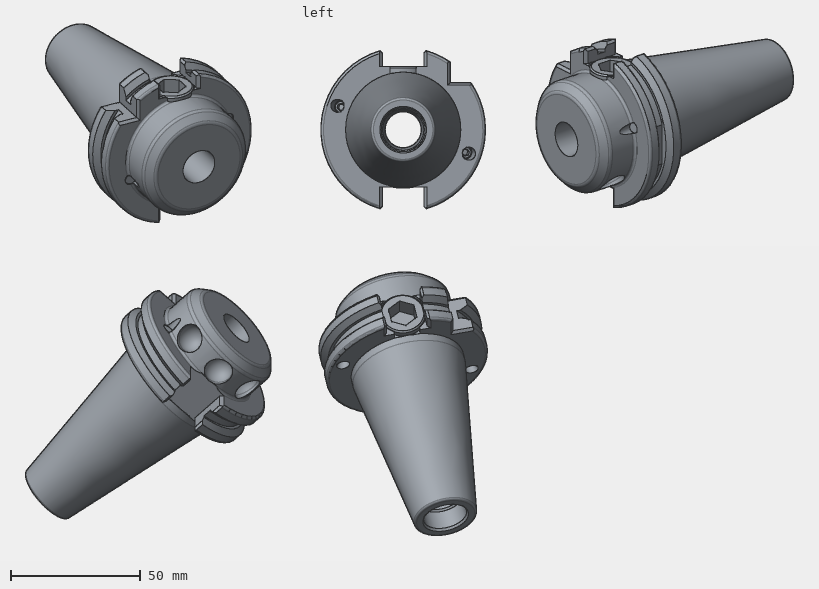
import cadquery as cq
import math


OVERALL_LENGTH = 103.4
TAPER_LENGTH = 68.3
GAUGE_RADIUS = 22.2
TAPER_SLOPE = 7 / 48
SMALL_END_RADIUS = GAUGE_RADIUS - TAPER_LENGTH * TAPER_SLOPE
SMALL_END_FILLET = 0.9
NOSE_END = OVERALL_LENGTH - TAPER_LENGTH
NOSE_RADIUS = 22.5
NOSE_CHAMFER = 3.7
NOSE_FILLET = 2.0
NOSE_ROOT_FILLET = 1.0

FLANGE_RADIUS = 31.8
FLANGE_REAR = 3.2
FLANGE_FRONT = 19.1
FLANGE_LENGTH = FLANGE_FRONT - FLANGE_REAR
FLANGE_FILLET = 1.0

GROOVE_CENTRE = 11.2
GROOVE_FLOOR_RADIUS = 28.1
GROOVE_WALL_RADIUS = 29.3
GROOVE_FLOOR_WIDTH = 3.6
GROOVE_MOUTH_WIDTH = 7.2
GROOVE_FLAT_Y = 26.9

DRIVE_SLOT_WIDTH = 15.9
TOP_SLOT_FLOOR = 24.4
BOTTOM_SLOT_FLOOR = -22.1
SLOT_CHAMFER = 1.2
SLOT_RIM_HEIGHT = 29.6

NOTCH_OFFSET = 18.2
NOTCH_CHAMFER = 1.0

BORE_RADIUS = 6.9
PILOT_RADIUS = 8.5
PILOT_DEPTH = 8.8
PILOT_CHAMFER_WIDTH = 0.5
PILOT_CHAMFER_LENGTH = 1.0
THREAD_RADIUS = 8.0
PILOT_STEP_LENGTH = 0.8
BORE_CONE_LENGTH = 8.3

SCREW_X = 12.1
SCREW_RADIUS = 8.8
SCREW_CHAMFER = 0.6
SCREW_TOP = TOP_SLOT_FLOOR
SCREW_BOTTOM = 10.0
SCREW_LENGTH = SCREW_TOP - SCREW_BOTTOM
SCREW_HEX_WIDTH = 10.0
SCREW_HEX_DEPTH = 7.2
COUNTERSINK = 0.4
RELIEF_WIDTH = 10.0
RELIEF_FLOOR = 21.7

COOLANT_AZIMUTH = 20.0
COOLANT_TILT = 15.0
PLUG_LENGTH = 4.1
REAR_HOLE_RADIUS = 2.5
REAR_HOLE_PITCH_RADIUS = 27.0
REAR_PLUG_RECESS = 4.9
REAR_PLUG_CHAMFER = 0.4
REAR_HEX_WIDTH = 2.5
REAR_HEX_DEPTH = 2.6
FRONT_HOLE_RADIUS = 2.1
FRONT_HOLE_PITCH_RADIUS = 22.9
FRONT_PLUG_X = 18.9
FRONT_HOLE_RUNOUT = 12.4

BALANCE_X = 25.2
BALANCE_RADIUS = 5.5
BALANCE_CENTRE_RADIUS = 20.8
BALANCE_ANGLES = (-45, -90, -135)

SIDES = (1, -1)


def revolve_about_x(outline):
    return outline.close().revolve(360, (0, 0, 0), (1, 0, 0))


def hexagon(plane, width, depth):
    """Hexagonal prism, `width` across flats."""
    return plane.polygon(6, width / math.cos(math.pi / 6)).extrude(depth)


def taper():
    tail = revolve_about_x(
        cq.Workplane("XY")
        .moveTo(-TAPER_LENGTH, 0)
        .lineTo(-TAPER_LENGTH, SMALL_END_RADIUS)
        .lineTo(0, GAUGE_RADIUS)
        .lineTo(FLANGE_REAR, GAUGE_RADIUS)
        .lineTo(FLANGE_REAR, 0)
    )
    return tail.faces("<X").edges().fillet(SMALL_END_FILLET)


def nose():
    cone_start = NOSE_END - NOSE_CHAMFER
    front = revolve_about_x(
        cq.Workplane("XY")
        .moveTo(cone_start - NOSE_FILLET, 0)
        .lineTo(cone_start - NOSE_FILLET, NOSE_RADIUS)
        .lineTo(cone_start, NOSE_RADIUS)
        .lineTo(NOSE_END, NOSE_RADIUS - NOSE_CHAMFER)
        .lineTo(NOSE_END, 0)
    )
    front = front.faces(">X or %CONE").edges().fillet(NOSE_FILLET)
    root = revolve_about_x(
        cq.Workplane("XY")
        .moveTo(FLANGE_FRONT, 0)
        .lineTo(FLANGE_FRONT, NOSE_RADIUS + NOSE_ROOT_FILLET)
        .radiusArc((FLANGE_FRONT + NOSE_ROOT_FILLET, NOSE_RADIUS), -NOSE_ROOT_FILLET)
        .lineTo(cone_start - NOSE_FILLET, NOSE_RADIUS)
        .lineTo(cone_start - NOSE_FILLET, 0)
    )
    return root.union(front)


def grooved_ring():
    ring = cq.Workplane("YZ", origin=(FLANGE_REAR, 0, 0)).circle(FLANGE_RADIUS).extrude(FLANGE_LENGTH)
    ring = ring.edges().fillet(FLANGE_FILLET)
    half_floor = GROOVE_FLOOR_WIDTH / 2
    half_mouth = GROOVE_MOUTH_WIDTH / 2
    groove = revolve_about_x(
        cq.Workplane("XY")
        .moveTo(GROOVE_CENTRE - half_floor, GROOVE_FLOOR_RADIUS)
        .lineTo(GROOVE_CENTRE - half_floor, GROOVE_WALL_RADIUS)
        .lineTo(GROOVE_CENTRE - half_mouth, FLANGE_RADIUS)
        .lineTo(GROOVE_CENTRE + half_mouth, FLANGE_RADIUS)
        .lineTo(GROOVE_CENTRE + half_floor, GROOVE_WALL_RADIUS)
        .lineTo(GROOVE_CENTRE + half_floor, GROOVE_FLOOR_RADIUS)
    )
    return ring.cut(groove)


def through_bore():
    rear = -TAPER_LENGTH
    pilot_end = rear + PILOT_DEPTH
    cone_start = pilot_end + PILOT_STEP_LENGTH
    return revolve_about_x(
        cq.Workplane("XY")
        .moveTo(rear, 0)
        .lineTo(rear, PILOT_RADIUS + PILOT_CHAMFER_WIDTH)
        .lineTo(rear + PILOT_CHAMFER_LENGTH, PILOT_RADIUS)
        .lineTo(pilot_end, PILOT_RADIUS)
        .lineTo(cone_start, THREAD_RADIUS)
        .lineTo(cone_start + BORE_CONE_LENGTH, BORE_RADIUS)
        .lineTo(NOSE_END, BORE_RADIUS)
        .lineTo(NOSE_END, 0)
    )


def groove_flat():
    depth = GROOVE_WALL_RADIUS - GROOVE_FLAT_Y
    flat = cq.Workplane("XY").box(GROOVE_FLOOR_WIDTH, depth, 2 * NOSE_RADIUS)
    return flat.translate((GROOVE_CENTRE, GROOVE_FLAT_Y + depth / 2, 0))


def drive_slot(floor, side):
    """Slot through the flange above (side 1) or below (side -1) its floor, cutting the nose root fillet too."""
    half = DRIVE_SLOT_WIDTH / 2
    wide = half + SLOT_CHAMFER
    slot_end = FLANGE_FRONT + NOSE_ROOT_FILLET
    slot = (
        cq.Workplane("XY", origin=(0, 0, floor))
        .moveTo(FLANGE_REAR, -wide)
        .lineTo(FLANGE_REAR + SLOT_CHAMFER, -half)
        .lineTo(FLANGE_FRONT - SLOT_CHAMFER, -half)
        .lineTo(FLANGE_FRONT, -wide)
        .lineTo(slot_end, -wide)
        .lineTo(slot_end, wide)
        .lineTo(FLANGE_FRONT, wide)
        .lineTo(FLANGE_FRONT - SLOT_CHAMFER, half)
        .lineTo(FLANGE_REAR + SLOT_CHAMFER, half)
        .lineTo(FLANGE_REAR, wide)
        .close()
        .extrude(side * FLANGE_RADIUS)
    )
    rim_half = half + FLANGE_RADIUS - SLOT_RIM_HEIGHT
    rim = (
        cq.Workplane("YZ", origin=(FLANGE_REAR, 0, 0))
        .moveTo(-half, side * SLOT_RIM_HEIGHT)
        .lineTo(half, side * SLOT_RIM_HEIGHT)
        .lineTo(rim_half, side * FLANGE_RADIUS)
        .lineTo(-rim_half, side * FLANGE_RADIUS)
        .close()
        .extrude(FLANGE_LENGTH)
    )
    return slot.union(rim)


def orientation_notch():
    size = FLANGE_RADIUS - NOTCH_OFFSET
    notch = cq.Workplane("XY").box(FLANGE_LENGTH, size, size, centered=False)
    notch = notch.translate((FLANGE_REAR, -FLANGE_RADIUS, NOTCH_OFFSET))
    flare_size = 2 * (size + NOTCH_CHAMFER)
    rear_flare = (
        cq.Workplane("YZ", origin=(FLANGE_REAR, -FLANGE_RADIUS, FLANGE_RADIUS))
        .rect(flare_size, flare_size)
        .extrude(NOTCH_CHAMFER, taper=45)
    )
    front_flare = rear_flare.mirror("YZ", ((FLANGE_REAR + FLANGE_FRONT) / 2, 0, 0))
    return notch.union(rear_flare).union(front_flare)


def screw_hole():
    hole = cq.Workplane("XY", origin=(SCREW_X, 0, SCREW_BOTTOM)).circle(SCREW_RADIUS).extrude(SCREW_LENGTH)
    countersink = (
        cq.Workplane("XY", origin=(SCREW_X, 0, SCREW_TOP))
        .circle(SCREW_RADIUS + COUNTERSINK)
        .extrude(-COUNTERSINK, taper=45)
    )
    return hole.union(countersink)


def screw_hole_relief():
    length = SCREW_X - FLANGE_REAR
    relief = (
        cq.Workplane("XY", origin=(FLANGE_REAR + length / 2, 0, RELIEF_FLOOR))
        .rect(length, RELIEF_WIDTH)
        .extrude(TOP_SLOT_FLOOR - RELIEF_FLOOR)
    )
    return relief


def coolant_plane(side, x, pitch_radius, along_x):
    """Plane across a coolant hole; its normal leans inward going +X (1) or outward going -X reversed (-1)."""
    azimuth = math.radians(COOLANT_AZIMUTH)
    tilt = math.radians(COOLANT_TILT)
    out_y = side * math.cos(azimuth)
    out_z = side * math.sin(azimuth)
    inward = (along_x * math.cos(tilt), -math.sin(tilt) * out_y, -math.sin(tilt) * out_z)
    origin = (x, pitch_radius * out_y, pitch_radius * out_z)
    return cq.Workplane(cq.Plane(origin=origin, xDir=(0, -out_z, out_y), normal=inward))


def rear_coolant_plane(side):
    return coolant_plane(side, FLANGE_REAR, REAR_HOLE_PITCH_RADIUS, 1)


def front_coolant_plane(side):
    return coolant_plane(side, FRONT_PLUG_X, FRONT_HOLE_PITCH_RADIUS, -1)


def rear_coolant_hole(side):
    start = -REAR_HOLE_RADIUS
    length = REAR_PLUG_RECESS + PLUG_LENGTH - start
    return rear_coolant_plane(side).workplane(offset=start).circle(REAR_HOLE_RADIUS).extrude(length)


def front_coolant_hole(side):
    length = FRONT_HOLE_RUNOUT + PLUG_LENGTH
    start = front_coolant_plane(side).workplane(offset=-FRONT_HOLE_RUNOUT)
    return start.circle(FRONT_HOLE_RADIUS).extrude(length)


def balance_hole(angle):
    turn = math.radians(angle)
    out_y = math.cos(turn)
    out_z = math.sin(turn)
    centre = (BALANCE_X, BALANCE_CENTRE_RADIUS * out_y, BALANCE_CENTRE_RADIUS * out_z)
    plane = cq.Workplane(cq.Plane(origin=centre, xDir=(1, 0, 0), normal=(0, out_y, out_z)))
    return plane.circle(BALANCE_RADIUS).extrude(BALANCE_RADIUS).union(plane.sphere(BALANCE_RADIUS))


def make_holder():
    body = grooved_ring().union(nose())
    body = body.cut(groove_flat())
    body = body.cut(drive_slot(TOP_SLOT_FLOOR, 1))
    body = body.cut(drive_slot(BOTTOM_SLOT_FLOOR, -1))
    body = body.cut(orientation_notch())
    body = body.cut(screw_hole_relief())
    body = body.union(taper())
    body = body.cut(through_bore())
    body = body.cut(screw_hole())
    for side in SIDES:
        body = body.cut(rear_coolant_hole(side))
        body = body.cut(front_coolant_hole(side))
    for angle in BALANCE_ANGLES:
        body = body.cut(balance_hole(angle))
    return body


def make_clamping_screw():
    screw = cq.Workplane("XY", origin=(SCREW_X, 0, SCREW_BOTTOM)).circle(SCREW_RADIUS).extrude(SCREW_LENGTH)
    screw = screw.faces(">Z").edges().chamfer(SCREW_CHAMFER)
    top = cq.Workplane("XY", origin=(SCREW_X, 0, SCREW_TOP))
    return screw.cut(hexagon(top, SCREW_HEX_WIDTH, -SCREW_HEX_DEPTH))


def make_rear_plug(side):
    face = rear_coolant_plane(side).workplane(offset=REAR_PLUG_RECESS)
    plug = face.circle(REAR_HOLE_RADIUS).extrude(PLUG_LENGTH).edges().chamfer(REAR_PLUG_CHAMFER)
    return plug.cut(hexagon(face, REAR_HEX_WIDTH, REAR_HEX_DEPTH))


def make_front_plug(side):
    return front_coolant_plane(side).circle(FRONT_HOLE_RADIUS).extrude(PLUG_LENGTH)


holder = make_holder()
clamping_screw = make_clamping_screw()
rear_plugs = [make_rear_plug(side).val() for side in SIDES]
front_plugs = [make_front_plug(side).val() for side in SIDES]
result = cq.Compound.makeCompound([holder.val(), clamping_screw.val(), *rear_plugs, *front_plugs])